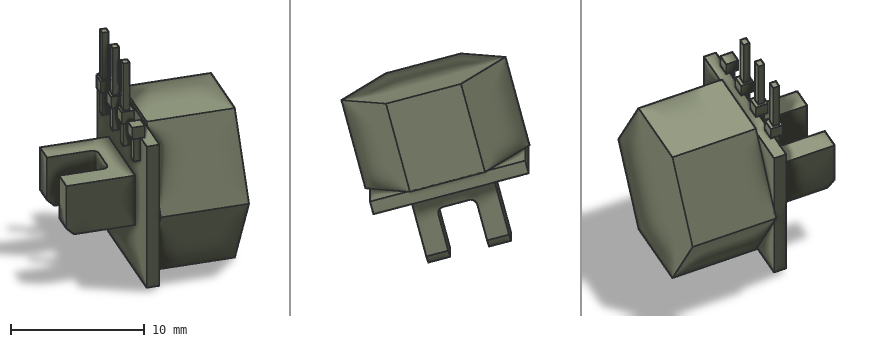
import cadquery as cq


housing_size = 12.7
housing_flat_width = 5.8
housing_depth = 6.93

board_size = 12.0
board_thickness = 1.0

fork_width = 6.4
fork_height = 4.2
fork_length = 5.4
fork_slot_width = 3.0
fork_web_thickness = 1.5
fork_slot_fillet = 0.5
fork_tip_chamfer = 0.6

pin_count = 4
pin_pitch = 2.54
first_pin_x = -3.51
pin_width = 0.6
pin_depth = 0.5
pin_leg_length = 2.0
pin_top_z = 11.0
pin_block_size = 1.0
pin_block_overhang = 0.7

board_top_z = board_size / 2


def make_housing():
    """Prism with a hexagonal outline, resting against the back of the board."""
    half_size = housing_size / 2
    half_flat = housing_flat_width / 2
    outline = [
        (-half_size, 0),
        (-half_flat, half_size),
        (half_flat, half_size),
        (half_size, 0),
        (half_flat, -half_size),
        (-half_flat, -half_size),
    ]
    return (
        cq.Workplane("XZ", origin=(0, board_thickness, 0))
        .polyline(outline)
        .close()
        .extrude(-housing_depth)
    )


def make_pin(x, has_upper_post):
    """Leg on the board's face, block on its top edge and, where asked for, a post above."""
    post_top_z = pin_top_z if has_upper_post else board_top_z + pin_block_size
    leg_bottom_z = board_top_z - pin_leg_length
    shank = cq.Workplane("XY", origin=(x, -pin_depth / 2, leg_bottom_z)).box(
        pin_width, pin_depth, post_top_z - leg_bottom_z, centered=(True, True, False)
    )
    block = cq.Workplane("XY", origin=(x, -pin_block_overhang, board_top_z)).box(
        pin_block_size, pin_block_size, pin_block_size, centered=(True, False, False)
    )
    return shank.union(block)


def make_board():
    """Square board with its row of pins; the last pin has no upper post."""
    board = cq.Workplane("XY").box(
        board_size, board_thickness, board_size, centered=(True, False, True)
    )
    for index in range(pin_count):
        pin_x = first_pin_x + index * pin_pitch
        is_last = index == pin_count - 1
        board = board.union(make_pin(pin_x, not is_last))
    return board.solids()


def make_fork():
    """Block on the board's face with an open vertical slot and chamfered lower tips."""
    fork = (
        cq.Workplane("XY", origin=(0, -fork_length, 0))
        .box(fork_width, fork_length, fork_height, centered=(True, False, True))
        .faces("<Y")
        .edges("<Z")
        .chamfer(fork_tip_chamfer)
    )
    slot_depth = fork_length - fork_web_thickness
    slot = (
        cq.Workplane("XY", origin=(0, -fork_length, 0))
        .box(fork_slot_width, slot_depth, fork_height, centered=(True, False, True))
        .edges("|Z and >Y")
        .fillet(fork_slot_fillet)
    )
    return fork.cut(slot).solids()


housing = make_housing()
board_with_pins = make_board()
fork = make_fork()

result = cq.Compound.makeCompound([housing.val(), board_with_pins.val(), fork.val()])